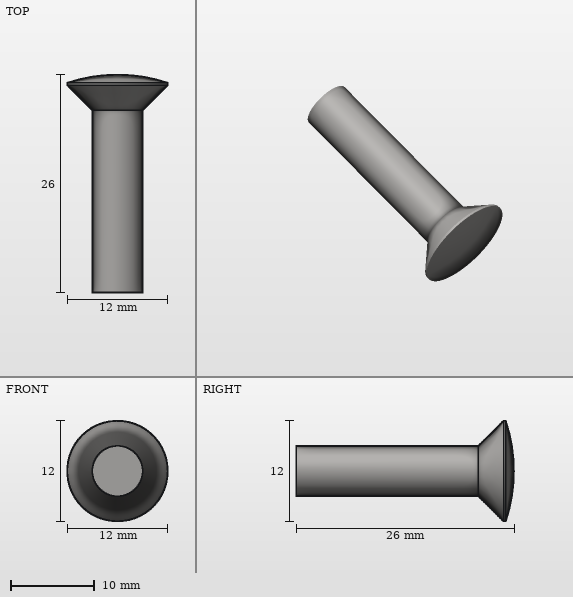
import cadquery as cq

total_length = 26.0
head_diameter = 12.0
shank_diameter = 6.0
dome_height = 1.0
rim_width = 0.25

head_radius = head_diameter / 2
shank_radius = shank_diameter / 2
cone_height = head_radius - shank_radius

rim_bottom = -rim_width
cone_bottom = rim_bottom - cone_height
shank_end = dome_height - total_length

dome_radius = (head_radius**2 + dome_height**2) / (2 * dome_height)
dome_center = dome_height - dome_radius
dome_mid_x = head_radius / 2
dome_mid_y = dome_center + (dome_radius**2 - dome_mid_x**2) ** 0.5

half_section = (
    cq.Workplane("XY")
    .moveTo(0, shank_end)
    .lineTo(shank_radius, shank_end)
    .lineTo(shank_radius, cone_bottom)
    .lineTo(head_radius, rim_bottom)
    .lineTo(head_radius, 0)
    .threePointArc((dome_mid_x, dome_mid_y), (0, dome_height))
    .close()
)

result = half_section.revolve(360, (0, 0, 0), (0, 1, 0))